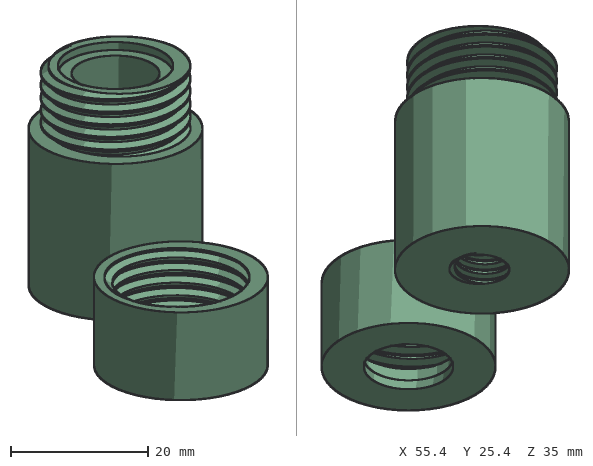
import cadquery as cq
import math

OUTER_DIAMETER = 25.4
OVERALL_LENGTH = 55.4
BODY_SPACING = OVERALL_LENGTH - OUTER_DIAMETER

THREAD_HALF_ANGLE = math.radians(30)
EMBED = 0.1
JOINT_LENGTH = 10.0
JOINT_TURNS = 5
JOINT_PITCH = JOINT_LENGTH / JOINT_TURNS
SOCKET_PITCH = 1.6

HOUSING_HEIGHT = 35.0
SHOULDER_HEIGHT = HOUSING_HEIGHT - JOINT_LENGTH
NECK_ROOT_DIAMETER = 19.55
NECK_CREST_DIAMETER = 21.8
NECK_START_ANGLE = 90
SEAT_DIAMETER = 16.8
SEAT_DEPTH = 1.3
BORE_DIAMETER = 12.8
SOCKET_TURNS = 3
FLOOR_THICKNESS = SOCKET_TURNS * SOCKET_PITCH
SOCKET_MINOR_DIAMETER = 8.0
SOCKET_MAJOR_DIAMETER = 9.55
SOCKET_START_ANGLE = 90

CAP_HEIGHT = 14.0
CAP_FLOOR = CAP_HEIGHT - JOINT_LENGTH
CAP_MINOR_DIAMETER = 20.0
CAP_MAJOR_DIAMETER = 22.25
CAP_START_ANGLE = -90
WINDOW_DIAMETER = 13.0
WINDOW_SEAT_DIAMETER = 15.0
WINDOW_LIP_THICKNESS = 1.5


def cylinder(diameter, bottom, top):
    """Upright cylinder on the Z axis between two heights."""
    return cq.Workplane("XY").workplane(offset=bottom).circle(diameter / 2).extrude(top - bottom)


def thread_ridge(minor_diameter, major_diameter, pitch, bottom, top, start_angle):
    """Right-hand ridge, narrow at its major diameter, trimmed flat at bottom and top."""
    inner = minor_diameter / 2 - EMBED
    outer = major_diameter / 2
    half_crest = pitch / 16
    half_base = half_crest + (outer - inner) * math.tan(THREAD_HALF_ANGLE)
    sweep_height = top - bottom + 2 * pitch
    helix = cq.Workplane(obj=cq.Wire.makeHelix(pitch, sweep_height, minor_diameter / 2))
    ridge = (
        cq.Workplane("XZ")
        .polyline([(inner, -half_base), (outer, -half_crest), (outer, half_crest), (inner, half_base)])
        .close()
        .sweep(helix, isFrenet=True)
        .rotate((0, 0, 0), (0, 0, 1), start_angle)
        .translate((0, 0, bottom - pitch))
    )
    return ridge.intersect(cylinder(major_diameter + pitch, bottom, top))


def threaded_cylinder(minor_diameter, major_diameter, pitch, bottom, top, start_angle):
    """Cylinder at the minor diameter carrying a thread out to the major diameter."""
    ridge = thread_ridge(minor_diameter, major_diameter, pitch, bottom, top, start_angle)
    return cylinder(minor_diameter, bottom, top).union(ridge)


def make_housing():
    neck = threaded_cylinder(
        NECK_ROOT_DIAMETER, NECK_CREST_DIAMETER, JOINT_PITCH,
        SHOULDER_HEIGHT, HOUSING_HEIGHT, NECK_START_ANGLE,
    )
    seat = cylinder(SEAT_DIAMETER, HOUSING_HEIGHT - SEAT_DEPTH, HOUSING_HEIGHT)
    bore = cylinder(BORE_DIAMETER, FLOOR_THICKNESS, HOUSING_HEIGHT)
    socket = threaded_cylinder(
        SOCKET_MINOR_DIAMETER, SOCKET_MAJOR_DIAMETER, SOCKET_PITCH,
        0, FLOOR_THICKNESS, SOCKET_START_ANGLE,
    )
    barrel = cylinder(OUTER_DIAMETER, 0, SHOULDER_HEIGHT)
    return barrel.union(neck).cut(seat).cut(bore).cut(socket)


def make_cap():
    threaded_bore = threaded_cylinder(
        CAP_MINOR_DIAMETER, CAP_MAJOR_DIAMETER, JOINT_PITCH,
        CAP_FLOOR, CAP_HEIGHT, CAP_START_ANGLE,
    )
    window = cylinder(WINDOW_DIAMETER, 0, CAP_FLOOR)
    window_seat = cylinder(WINDOW_SEAT_DIAMETER, WINDOW_LIP_THICKNESS, CAP_FLOOR)
    blank = cylinder(OUTER_DIAMETER, 0, CAP_HEIGHT)
    return blank.cut(threaded_bore).cut(window).cut(window_seat)


housing = make_housing()
cap = make_cap().translate((BODY_SPACING, 0, 0))

result = cq.Compound.makeCompound([housing.solids().val(), cap.solids().val()])